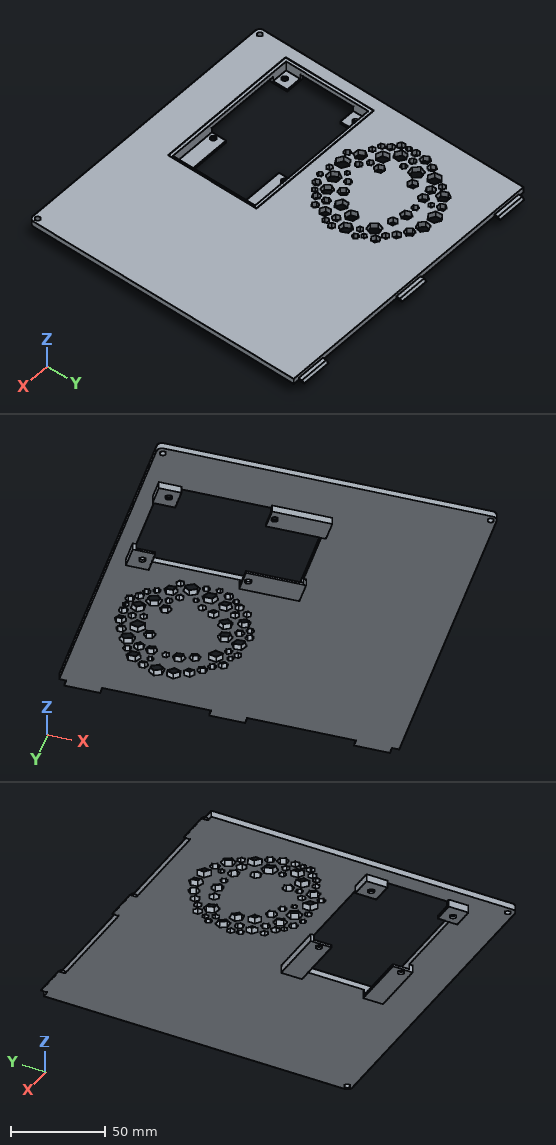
import cadquery as cq

plate_width = 188.0
total_depth = 188.0
total_height = 8.5
plate_thickness = 4.0
corner_radius = 3.0

tab_reach = 4.0
tab_width = 20.0
tab_height = 1.5
tab_slope = tab_height
tab_inset = 4.0
tab_root = 1.9
plate_depth = total_depth - tab_reach

screw_diameter = 3.2
screw_places = [(3.8, 3.8), (184.8, 3.2)]

rim_left, rim_front, rim_right, rim_back = 7.9, 25.2, 103.8, 86.5
window_left, window_front, window_right, window_back = 10.0, 27.3, 102.5, 84.5
rim_step = 0.3

bracket_drop = total_height - plate_thickness
bracket_floor = 1.5
bracket_left_end = 20.5
bracket_right_start = 70.5
bracket_front_end = 37.0
bracket_back_start = 73.9
mount_diameter = 3.5
mount_columns = (15.0, 73.5)
mount_rows = (30.6, 79.9)

vent_sides = 6
vents = {
    9.0: [(28.4, 133.7, 12), (48.0, 98.9, 31)],
    8.6: [(25.8, 144.0, 38), (74.6, 143.8, 12), (47.5, 162.8, 34), (31.2, 112.6, 42), (59.2, 102.3, 0)],
    8.0: [
        (57.0, 162.6, 19), (32.9, 156.2, 0), (84.0, 132.0, 57), (75.2, 128.4, 49),
        (24.5, 119.2, 27), (72.5, 119.0, 31),
    ],
    7.5: [(68.6, 105.8, 4), (37.6, 102.5, 57)],
    7.0: [(56.2, 150.2, 53), (82.0, 115.6, 34)],
    6.4: [
        (64.7, 159.8, 8), (40.6, 148.9, 53), (36.3, 137.8, 46), (18.2, 131.2, 0),
        (39.0, 117.0, 53), (64.3, 113.4, 12),
    ],
    6.0: [(33.5, 148.0, 27), (64.3, 147.8, 38)],
    5.5: [(39.5, 160.7, 57), (70.7, 155.9, 38), (80.3, 149.3, 31), (20.5, 137.8, 57)],
    5.0: [
        (17.7, 124.0, 31), (81.8, 123.3, 49), (22.7, 111.1, 27), (75.4, 111.0, 8),
        (18.5, 114.5, 34), (76.1, 104.7, 23), (68.2, 98.1, 57),
    ],
    4.5: [
        (75.0, 151.9, 42), (27.8, 151.2, 38), (23.3, 126.7, 23), (87.8, 125.2, 38),
        (57.2, 110.5, 4), (81.5, 108.5, 23), (43.6, 106.5, 23), (40.8, 96.0, 4),
    ],
    4.1: [
        (48.9, 150.2, 4), (85.5, 139.9, 4), (80.0, 138.4, 38), (29.3, 125.5, 15), (86.7, 120.1, 53),
        (38.7, 110.4, 57), (30.5, 104.7, 42), (55.3, 96.0, 46), (25.5, 107.0, 49),
    ],
    3.5: [(42.0, 155.5, 46), (82.5, 143.3, 42), (17.7, 119.4, 15), (73.1, 101.0, 34), (62.5, 95.5, 0)],
    3.2: [(52.5, 106.0, 49)],
}


def block(left, front, right, back, bottom, top):
    """Axis-aligned block between the given limits."""
    solid = cq.Workplane("XY").box(right - left, back - front, top - bottom, centered=False)
    return solid.translate((left, front, bottom))


def hinge_tab(left):
    """Wedge-nosed tab whose root reaches into the plate so the two fuse."""
    return (
        cq.Workplane("YZ", origin=(left, 0, 0))
        .moveTo(plate_depth - tab_root, 0)
        .lineTo(total_depth, 0)
        .lineTo(total_depth - tab_slope, tab_height)
        .lineTo(plate_depth - tab_root, tab_height)
        .close()
        .extrude(tab_width)
    )


def vent(x, y, size, turn):
    """Hexagonal cutter through the plate, as a solid."""
    hexagon = cq.Workplane("XY").polygon(vent_sides, size).extrude(plate_thickness)
    return hexagon.rotate((0, 0, 0), (0, 0, 1), turn).translate((x, y, 0)).val()


body = block(0, 0, plate_width, plate_depth, 0, plate_thickness)
body = body.edges("|Z and <Y").fillet(corner_radius)

for tab_left in (tab_inset, (plate_width - tab_width) / 2, plate_width - tab_inset - tab_width):
    body = body.union(hinge_tab(tab_left))

for left, right in ((rim_left, bracket_left_end), (bracket_right_start, rim_right)):
    for front, back in ((rim_front, bracket_front_end), (bracket_back_start, rim_back)):
        body = body.union(block(left, front, right, back, -bracket_drop, 0))

body = body.cut(
    block(rim_left, rim_front, rim_right, rim_back, plate_thickness - rim_step, plate_thickness)
)
body = body.cut(
    block(
        window_left, window_front, window_right, window_back,
        bracket_floor - bracket_drop, plate_thickness,
    )
)

mount_places = [(x, y) for x in mount_columns for y in mount_rows]
body = body.cut(
    cq.Workplane("XY", origin=(0, 0, -bracket_drop))
    .pushPoints(mount_places)
    .circle(mount_diameter / 2)
    .extrude(bracket_floor)
)

body = body.cut(
    cq.Workplane("XY").pushPoints(screw_places).circle(screw_diameter / 2).extrude(plate_thickness)
)

vent_cutters = [vent(x, y, size, turn) for size, places in vents.items() for x, y, turn in places]
body = body.cut(cq.Workplane(cq.Compound.makeCompound(vent_cutters)))

result = body